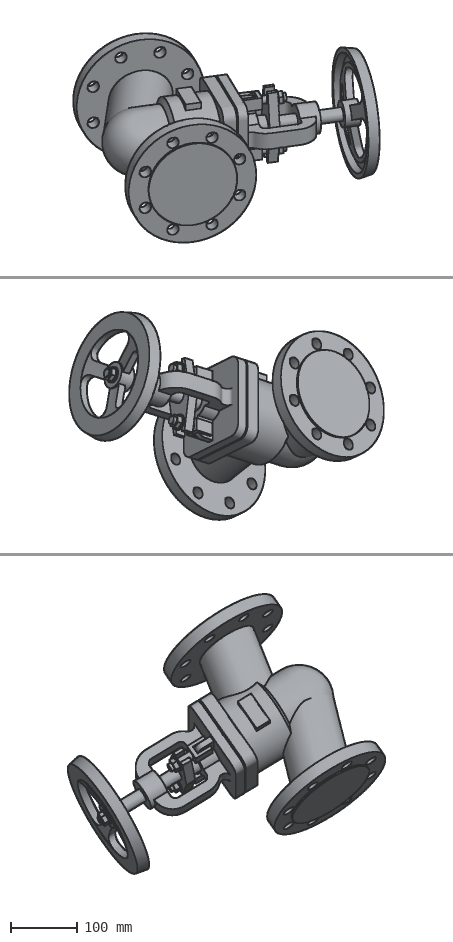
import cadquery as cq
import math


face_to_face = 310.0
flange_dia = 200.0
flange_thickness = 20.5
raised_face_dia = 138.5
raised_face_height = 3.0
bolt_count = 8
bolt_circle_dia = 160.0
bolt_hole_dia = 18.0

pipe_dia = 95.0
inlet_slope = 20.0
outlet_slope = 12.5
bowl_radius = 52.2
bowl_y = -44.0
body_radius = 62.0
body_bottom_y = 3.5
body_cone_height = 6.0
pad_width = 52.2
pad_bottom_y = 25.3
pad_top_y = 49.5
pad_z = 66.7

bonnet_side = 130.5
bonnet_corner = 17.0
body_flange_y = 73.5
body_flange_thickness = 20.7
gasket_dia = 118.0
gasket_thickness = 2.5
bonnet_flange_thickness = 15.8
bonnet_top_y = body_flange_y + body_flange_thickness + gasket_thickness + bonnet_flange_thickness

yoke_half_width = 54.0
yoke_thickness = 27.0
yoke_top_y = 230.5
yoke_top_radius = 34.0
yoke_shoulder_y = 151.5
yoke_waist_y = 128.5
yoke_waist_x = 44.8
yoke_neck_x = 42.3
yoke_foot_x = 49.7
window_width = 74.0
window_bottom_y = 141.5
window_top_y = 205.5
window_corner = 8.3
yoke_boss_dia = 49.5
yoke_boss_top_y = 238.0
stuffing_box_dia = 49.5

gland_bottom_y = 158.0
gland_thickness = 15.8
gland_middle_width = 47.0
gland_end_width = 25.5
gland_length = 118.5
gland_sleeve_dia = 30.0
stud_dia = 13.0
stud_z = 42.5
stud_slot = 13.3
stud_top_y = 189.0
washer_dia = 24.5
washer_thickness = 2.0
nut_corner_dia = 21.5
nut_height = 8.0
clevis_width = 24.0
clevis_length = 20.0
clevis_bottom_y = 119.5
clevis_top_y = 149.5
clevis_slot_top_y = 142.5
lug_thickness = 10.0
lug_reach = 56.8
lug_corner = 12.5

spindle_dia = 21.5
spindle_tip_y = 314.5
wheel_bottom_y = 290.5
wheel_top_y = 309.2
wheel_bottom_radius = 100.0
wheel_top_radius = 96.0
rim_lip_radius = 92.0
groove_outer_radius = 88.5
groove_inner_radius = 76.3
groove_y = 301.8
web_radius = 69.0
web_outer_y = 296.5
web_hub_y = 287.0
web_thickness = 12.5
hub_dia = 41.0
hub_bottom_y = 277.0
hub_top_y = 301.8
spoke_count = 3
spoke_width = 22.5
window_fillet = 12.5


def level(y, x_dir=(1, 0, 0)):
    """Sketch plane square to the spindle at height y, extruding upwards."""
    return cq.Workplane(cq.Plane(origin=(0, y, 0), xDir=x_dir, normal=(0, 1, 0)))


def spindle_disc(dia, bottom_y, top_y):
    return level(bottom_y).circle(dia / 2).extrude(top_y - bottom_y)


def turned(profile):
    """Turn a closed (radius, y) profile about the spindle axis."""
    return cq.Workplane("XY").polyline(profile).close().revolve(360, (0, 0, 0), (0, 1, 0))


def block(width, depth, bottom_y, top_y, z_centre=0):
    return level(bottom_y).center(0, -z_centre).rect(width, depth).extrude(top_y - bottom_y)


def pipe_flange(side):
    """Flange at the end of the run; side is -1 for the inlet, 1 for the outlet."""
    disc_face_x = face_to_face / 2 - raised_face_height
    flange = cq.Workplane("YZ", origin=(disc_face_x - flange_thickness, 0, 0))
    flange = flange.circle(flange_dia / 2).extrude(flange_thickness)
    flange = (
        flange.faces(">X").workplane()
        .polarArray(bolt_circle_dia / 2, 180 / bolt_count, 360, bolt_count)
        .hole(bolt_hole_dia)
    )
    raised_face = cq.Workplane("YZ", origin=(disc_face_x, 0, 0)).circle(raised_face_dia / 2)
    flange = flange.union(raised_face.extrude(raised_face_height))
    return flange if side > 0 else flange.mirror("YZ")


def sloping_pipe(side, rise_angle):
    """Pipe from the inner face of a flange to the spindle axis."""
    start_x = side * (face_to_face / 2 - raised_face_height - flange_thickness)
    angle = math.radians(rise_angle)
    direction = cq.Vector(-side * math.cos(angle), math.sin(angle), 0)
    overlap = 2 * flange_thickness
    start = cq.Vector(start_x, 0, 0) - direction * overlap
    length = abs(start_x) / math.cos(angle) + overlap
    pipe = cq.Workplane(obj=cq.Solid.makeCylinder(pipe_dia / 2, length, start, direction))
    trim_width = 2 * abs(start_x) + flange_thickness
    return pipe.intersect(cq.Workplane("XY").box(trim_width, 2 * flange_dia, flange_dia))


def valve_body():
    cone_bottom_y = body_bottom_y - body_cone_height
    bowl_diagonal = bowl_radius * math.sqrt(0.5)
    chamber = (
        cq.Workplane("XY")
        .moveTo(0, bowl_y - bowl_radius)
        .threePointArc((bowl_diagonal, bowl_y - bowl_diagonal), (bowl_radius, bowl_y))
        .lineTo(bowl_radius, cone_bottom_y)
        .lineTo(body_radius, body_bottom_y)
        .lineTo(body_radius, body_flange_y)
        .lineTo(0, body_flange_y)
        .close()
        .revolve(360, (0, 0, 0), (0, 1, 0))
    )
    pad = block(pad_width, pad_z, pad_bottom_y, pad_top_y, pad_z / 2)
    body = chamber.union(pad)
    body = body.union(sloping_pipe(-1, -inlet_slope)).union(sloping_pipe(1, outlet_slope))
    return body.union(pipe_flange(-1)).union(pipe_flange(1))


def bonnet_joint():
    def square_flange(bottom_y, thickness):
        plate = level(bottom_y).rect(bonnet_side, bonnet_side).extrude(thickness)
        return plate.edges("|Y").fillet(bonnet_corner)

    gasket_y = body_flange_y + body_flange_thickness
    gasket_top_y = gasket_y + gasket_thickness
    lower = square_flange(body_flange_y, body_flange_thickness)
    upper = square_flange(gasket_top_y, bonnet_flange_thickness)
    return lower.union(upper).union(spindle_disc(gasket_dia, gasket_y, gasket_top_y))


def yoke():
    arc_start_y = yoke_top_y - yoke_top_radius
    arc_end_x = yoke_half_width - yoke_top_radius
    half_diagonal = yoke_top_radius * math.sqrt(0.5)
    half_frame = (
        cq.Workplane("XY")
        .moveTo(0, bonnet_top_y)
        .lineTo(yoke_foot_x, bonnet_top_y)
        .threePointArc((yoke_neck_x, (bonnet_top_y + yoke_waist_y) / 2), (yoke_waist_x, yoke_waist_y))
        .tangentArcPoint((yoke_half_width, yoke_shoulder_y), relative=False)
        .lineTo(yoke_half_width, arc_start_y)
        .threePointArc(
            (arc_end_x + half_diagonal, arc_start_y + half_diagonal),
            (arc_end_x, yoke_top_y),
        )
        .lineTo(0, yoke_top_y)
        .close()
        .extrude(yoke_thickness / 2, both=True)
    )
    frame = half_frame.union(half_frame.mirror("YZ"))
    window = block(window_width, 2 * yoke_thickness, window_bottom_y, window_top_y)
    frame = frame.cut(window.edges("|Z").fillet(window_corner))
    frame = frame.union(spindle_disc(yoke_boss_dia, window_top_y, yoke_boss_top_y))
    return frame.union(spindle_disc(stuffing_box_dia, bonnet_top_y, window_bottom_y))


def eye_bolt_lugs():
    """Web across the bonnet whose two ends carry the eye bolts."""
    lugs = block(lug_thickness, 2 * lug_reach, bonnet_top_y, window_bottom_y)
    return lugs.edges("|X and >Y").fillet(lug_corner)


def gland():
    half_length = gland_length / 2
    end_x = gland_end_width / 2
    middle_x = gland_middle_width / 2
    plate = level(gland_bottom_y).polyline([
        (-end_x, -half_length),
        (end_x, -half_length),
        (middle_x, 0),
        (end_x, half_length),
        (-end_x, half_length),
        (-middle_x, 0),
    ]).close().extrude(gland_thickness)
    slot_length = 2 * (half_length - stud_z) + stud_slot
    slots = (
        level(gland_bottom_y)
        .pushPoints([(0, -half_length), (0, half_length)])
        .slot2D(slot_length, stud_slot, 90)
        .extrude(gland_thickness)
    )
    sleeve = spindle_disc(gland_sleeve_dia, window_bottom_y, gland_bottom_y)
    return plate.cut(slots).union(sleeve)


def washer_and_nut(seat_y):
    """Washer and hexagon nut on the spindle axis, two nut corners on the Z axis."""
    nut_y = seat_y + washer_thickness
    washer = spindle_disc(washer_dia, seat_y, nut_y)
    return washer.union(level(nut_y, (0, 0, 1)).polygon(6, nut_corner_dia).extrude(nut_height))


def eye_bolt():
    """Clevis, stud, washer and nut, made on the spindle axis."""
    clevis = block(clevis_width, clevis_length, clevis_bottom_y, clevis_top_y)
    clevis = clevis.cut(block(stud_slot, clevis_length, clevis_bottom_y, clevis_slot_top_y))
    stud = spindle_disc(stud_dia, clevis_slot_top_y, stud_top_y)
    return clevis.union(stud).union(washer_and_nut(gland_bottom_y + gland_thickness))


def spindle():
    shaft = spindle_disc(spindle_dia, window_bottom_y, hub_top_y)
    tip = spindle_disc(stud_dia, hub_top_y, spindle_tip_y)
    return shaft.union(tip).union(washer_and_nut(hub_top_y))


def handwheel():
    rim = turned([
        (web_radius, web_outer_y),
        (groove_inner_radius, web_outer_y),
        (groove_inner_radius, groove_y),
        (groove_outer_radius, groove_y),
        (rim_lip_radius, wheel_bottom_y),
        (wheel_bottom_radius, wheel_bottom_y),
        (wheel_top_radius, wheel_top_y),
        (web_radius, wheel_top_y),
    ])
    hub_radius = hub_dia / 2
    web = turned([
        (0, web_hub_y),
        (hub_radius, web_hub_y),
        (web_radius, web_outer_y),
        (web_radius, web_outer_y + web_thickness),
        (hub_radius, web_hub_y + web_thickness),
        (0, web_hub_y + web_thickness),
    ])
    openings = spindle_disc(2 * web_radius, hub_bottom_y, wheel_top_y)
    for i in range(spoke_count):
        spoke = level(hub_bottom_y).center(web_radius, 0).rect(2 * web_radius, spoke_width)
        spoke = spoke.extrude(wheel_top_y - hub_bottom_y)
        openings = openings.cut(spoke.rotate((0, 0, 0), (0, 1, 0), 90 + i * 360 / spoke_count))
    openings = openings.edges("|Y").fillet(window_fillet)
    hub = spindle_disc(hub_dia, hub_bottom_y, hub_top_y)
    return rim.union(web.cut(openings)).union(hub)


result = valve_body().union(bonnet_joint()).union(yoke()).union(eye_bolt_lugs())
result = result.union(gland()).union(spindle()).union(handwheel())
for z in (-stud_z, stud_z):
    result = result.union(eye_bolt().translate((0, 0, z)))